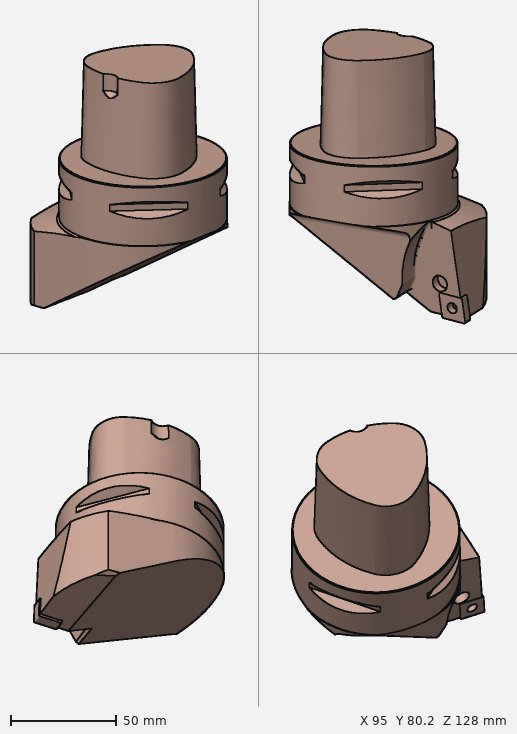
import cadquery as cq
import math


shank_length = 48.0
lobe_reach = 29.6
side_reach = 25.2
side_center_offset = 22.0
shank_taper = math.degrees(math.atan(1 / 40))
lobe_count = 3
first_lobe_angle = -30.0

key_radius = 5.5
key_center_y = -27.1
key_depth = 8.4

flange_radius = 40.0
flange_height = 30.0
flange_chamfer = 0.5
groove_floor_distance = 35.4
groove_floor_width = 3.3
groove_side_angle = 30.0
groove_center_z = -11.9
groove_count = 4
first_groove_angle = 45.0

tip_x = -55.0
tip_z = -80.0
trunk_radius = 40.2
corner_x = -33.9
corner_y = -40.1
extension_back_y = 6.4
corner_pad_width = 3.8
nose_center = (-4.5, 2.3)
shoulder_angle = 16.0
shoulder_lead = (41.0, -30.85)
shoulder_outer_radius = 80.0

underside_start = (flange_radius, -29.3)
underside_angle = 32.0
side_point = (-50.4, 4.9, -33.6)
side_slope_y = -0.098
side_slope_z = 0.095
end_point = (-53.1, -4.4, -77.7)
end_relief_angle = 5.0
heel_z = -71.7
heel_angle = 26.0

rake_yaw = 6.3
rake_tilt = 5.8
wall_radius = 49.0
wall_bottom = (-28.2, -60.0)
wall_top_z = -20.0
lip_radius = 3.5
lip_end = (-24.5, -67.5)
toe = (-22.5, -68.6)
pocket_floor_radius = 1.0

back_wall_y = 25.9
back_ceiling_z = -28.9
back_ceiling_angle = 17.2
back_radius = 4.0

insert_circle = 12.7
insert_thickness = 4.76
insert_corner_angle = 80.0
insert_lead = 5.0
insert_nose_radius = 0.8
insert_hole_diameter = 5.16
seat_relief_diameter = 8.0
seat_relief_center = (-42.0, -61.5)

far = 120.0


def tan(degrees):
    return math.tan(math.radians(degrees))


def polar(radius, degrees):
    angle = math.radians(degrees)
    return (radius * math.cos(angle), radius * math.sin(angle))


def half_space(point, normal):
    """Large block on the side of the plane that the normal points to."""
    return cq.Workplane(cq.Plane(origin=point, normal=normal)).rect(2 * far, 2 * far).extrude(far)


def make_shank():
    reach_gap = lobe_reach - side_reach
    lobe_center = (2 * reach_gap * side_center_offset - reach_gap**2) / (side_center_offset - 2 * reach_gap)
    side_radius = side_center_offset + side_reach
    lobe_x, lobe_y = polar(lobe_center, first_lobe_angle)
    half_side = math.atan2(lobe_x, side_center_offset - lobe_y)
    joint_x = side_radius * math.sin(half_side)
    joint_y = side_center_offset - side_radius * math.cos(half_side)
    joint_radius = math.hypot(joint_x, joint_y)
    joint_angle = math.degrees(math.atan2(joint_y, joint_x))
    lobe_half_angle = first_lobe_angle - joint_angle
    lobe_pitch = 360 / lobe_count

    outline = cq.Workplane("XY").moveTo(joint_x, joint_y)
    for i in range(lobe_count):
        lobe_angle = first_lobe_angle + i * lobe_pitch
        next_joint = lobe_angle + lobe_pitch - lobe_half_angle
        outline = outline.threePointArc(
            polar(lobe_reach, lobe_angle), polar(joint_radius, lobe_angle + lobe_half_angle)
        )
        outline = outline.threePointArc(
            polar(side_reach, lobe_angle + lobe_pitch / 2), polar(joint_radius, next_joint)
        )
    shank = outline.close().extrude(shank_length, taper=shank_taper)

    notch = (
        cq.Workplane("XZ")
        .polyline([(0, 0), (key_radius, 0), (key_radius, -key_depth), (0, -key_depth - key_radius)])
        .close()
        .revolve(360, (0, 0), (0, 1))
        .translate((0, key_center_y, shank_length))
    )
    return shank.cut(notch)


def make_flange():
    flange = cq.Workplane("XY").circle(flange_radius).extrude(-flange_height)
    flange = flange.faces(">Z").edges().chamfer(flange_chamfer)
    mouth = flange_radius + 1
    floor_half = groove_floor_width / 2
    mouth_half = floor_half + (mouth - groove_floor_distance) * tan(groove_side_angle)
    groove = (
        cq.Workplane("XZ")
        .polyline(
            [
                (groove_floor_distance, groove_center_z - floor_half),
                (mouth, groove_center_z - mouth_half),
                (mouth, groove_center_z + mouth_half),
                (groove_floor_distance, groove_center_z + floor_half),
            ]
        )
        .close()
        .extrude(flange_radius, both=True)
    )
    for i in range(groove_count):
        flange = flange.cut(groove.rotate((0, 0, 0), (0, 0, 1), first_groove_angle + i * 360 / groove_count))
    return flange


def make_head_blank():
    """Round trunk and its side extension, under a conical shoulder."""
    nose_radius = math.hypot(corner_x - nose_center[0], corner_y - nose_center[1])
    corner_angle = math.degrees(math.atan2(corner_y - nose_center[1], corner_x - nose_center[0]))
    middle_x, middle_y = polar(nose_radius, (corner_angle - 180) / 2)
    nose_left = nose_center[0] - nose_radius
    extension = (
        cq.Workplane("XY")
        .moveTo(0, -trunk_radius)
        .lineTo(corner_x + corner_pad_width, -trunk_radius)
        .lineTo(corner_x, corner_y)
        .threePointArc((nose_center[0] + middle_x, nose_center[1] + middle_y), (nose_left, nose_center[1]))
        .lineTo(nose_left, extension_back_y)
        .lineTo(0, extension_back_y)
        .close()
        .extrude(tip_z)
    )
    trunk = cq.Workplane("XY").circle(trunk_radius).extrude(tip_z)
    lead_r, lead_z = shoulder_lead
    outer_z = lead_z - (shoulder_outer_radius - lead_r) * tan(shoulder_angle)
    envelope = (
        cq.Workplane("XZ")
        .polyline(
            [
                (0, -flange_height),
                (flange_radius, -flange_height),
                (lead_r, lead_z),
                (shoulder_outer_radius, outer_z),
                (shoulder_outer_radius, tip_z),
                (0, tip_z),
            ]
        )
        .close()
        .revolve(360, (0, 0), (0, 1))
    )
    return trunk.union(extension).intersect(envelope)


def trim_head(body):
    """Slanted underside, leaning side face and the two end reliefs."""
    start_x, start_z = underside_start
    underside = half_space((start_x, 0, start_z), (tan(underside_angle), 0, -1))
    side = half_space(side_point, (-1, side_slope_y, side_slope_z))
    relief = tan(end_relief_angle)
    end = half_space(end_point, (relief, -relief, -1))
    heel = half_space((0, -trunk_radius, heel_z), (0, -tan(heel_angle), -1))
    head_zone = cq.Workplane("XY").box(2 * far, 2 * far, far, centered=(True, True, False))
    head_zone = head_zone.translate((0, 0, -flange_height - far))
    for tool in (side, end, heel):
        body = body.cut(tool.intersect(head_zone))
    return body.cut(underside)


yaw_direction = (math.cos(math.radians(rake_yaw)), math.sin(math.radians(rake_yaw)), 0)
rake_plane = cq.Plane(
    origin=(tip_x, 0, tip_z),
    xDir=yaw_direction,
    normal=(yaw_direction[1], -yaw_direction[0], tan(rake_tilt)),
)


def cut_chip_pocket(body):
    """Open the space over the rake face up to a curved wall with a lip below it."""
    bottom_x = wall_bottom[0] - tip_x
    bottom_z = wall_bottom[1] - tip_z
    center_x = bottom_x - wall_radius
    top_z = wall_top_z - tip_z

    def wall_x(height):
        return center_x + math.sqrt(wall_radius**2 - (height - bottom_z) ** 2)

    middle_z = (top_z + bottom_z) / 2
    toe_x = toe[0] - tip_x
    pocket = (
        cq.Workplane(rake_plane)
        .moveTo(wall_x(top_z), top_z)
        .threePointArc((wall_x(middle_z), middle_z), (bottom_x, bottom_z))
        .lineTo(lip_end[0] - tip_x, lip_end[1] - tip_z)
        .lineTo(toe_x, toe[1] - tip_z)
        .lineTo(toe_x, -far)
        .lineTo(-far, -far)
        .lineTo(-far, top_z)
        .close()
        .extrude(-far)
    )
    lip = cq.selectors.NearestToPointSelector(
        rake_plane.toWorldCoords((bottom_x, bottom_z, -far / 2)).toTuple()
    )
    pocket = pocket.edges(lip).fillet(lip_radius)
    wall_foot = cq.selectors.NearestToPointSelector(
        rake_plane.toWorldCoords((wall_x(middle_z), middle_z, 0)).toTuple()
    )
    return body.cut(pocket.edges(wall_foot).fillet(pocket_floor_radius))


def cut_back_relief(body):
    """Step on the +Y side whose wall is parallel to the rake face."""
    slope = tan(back_ceiling_angle)
    lean = tan(rake_tilt)

    def ceiling_z(y):
        return back_ceiling_z + (y - flange_radius) * slope

    corner_z = (ceiling_z(0) + slope * back_wall_y) / (1 - slope * lean)
    inner_y = back_wall_y + lean * corner_z
    relief = (
        cq.Workplane("YZ")
        .polyline(
            [
                (inner_y, corner_z),
                (2 * flange_radius, ceiling_z(2 * flange_radius)),
                (2 * flange_radius, -far),
                (back_wall_y - lean * far, -far),
            ]
        )
        .close()
        .extrude(far, both=True)
    )
    corner = cq.selectors.NearestToPointSelector((0, inner_y, corner_z))
    relief = relief.edges(corner).fillet(back_radius)
    return body.cut(relief.rotate((0, 0, 0), (0, 0, 1), rake_yaw))


def make_insert_blank():
    """Rhombus lying under the rake face, with its sharp corner at the tool tip."""
    edge = insert_circle / math.sin(math.radians(insert_corner_angle))
    low_x, low_y = polar(edge, insert_lead)
    high_x, high_y = polar(edge, insert_lead + insert_corner_angle)
    half_angle = math.radians(insert_corner_angle / 2)
    inset = insert_nose_radius * (1 / (math.sqrt(2) * math.sin(half_angle)) - 1)
    corners = [(0, 0), (low_x, low_y), (low_x + high_x, low_y + high_y), (high_x, high_y)]
    blank = cq.Workplane(rake_plane).polyline([(x - inset, y - inset) for x, y in corners])
    blank = blank.close().extrude(insert_thickness)
    center = (low_x + high_x) / 2 - inset
    return blank.edges(cq.selectors.ParallelDirSelector(rake_plane.zDir)).fillet(insert_nose_radius), center


insert_blank, insert_center = make_insert_blank()
insert_hole = (
    cq.Workplane(rake_plane)
    .center(insert_center, insert_center)
    .circle(insert_hole_diameter / 2)
    .extrude(insert_thickness)
)
insert = insert_blank.cut(insert_hole)

holder = trim_head(make_flange().union(make_head_blank()))
holder = cut_chip_pocket(holder)
holder = cut_back_relief(holder)
seat_relief = (
    cq.Workplane(rake_plane)
    .center(seat_relief_center[0] - tip_x, seat_relief_center[1] - tip_z)
    .circle(seat_relief_diameter / 2)
    .extrude(insert_thickness)
)
holder = holder.cut(insert_blank).cut(seat_relief).union(make_shank())

result = cq.Compound.makeCompound([holder.val(), insert.val()])